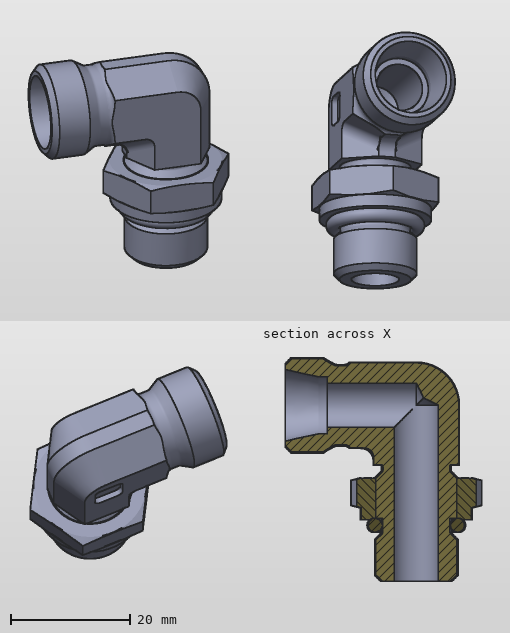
import cadquery as cq
import math

total_height = 37.5
threaded_end_diameter = 16.0
outlet_face_y = -21.98
bore_diameter = 8.0
drill_point_angle = 120.0
neck_blend_radius = 0.45
chamfer = 1.0

block_width = 14.0
block_reach = 7.25
block_bottom_z = 19.45
block_end_radius = 1.0
inner_corner_radius = 2.0

outlet_neck_diameter = 13.7
outlet_neck_start_y = -12.0
outlet_shoulder_y = -15.6
outlet_shoulder_angle = 30.0
outlet_blend_radius = 0.9
socket_mouth_diameter = 12.38
socket_diameter = 10.0
socket_depth = 7.0
socket_taper = 12.0

stud_diameter = 14.0
lower_neck_diameter = 11.8
upper_neck_diameter = 11.7
stud_shoulder_z = 6.98
upper_thread_end_z = 17.32

panel_size = 5.02
panel_depth = 1.0
panel_corner_radius = 1.0
panel_center_y = -0.4
panel_center_z = 29.0

nut_width = 19.0
nut_face_diameter = 18.9
collar_diameter = 18.8
nut_chamfer_angle = 15.0
nut_countersink = 0.15
collar_bottom_z = 10.3
hex_bottom_z = 12.3

ring_outer_diameter = 16.55
ring_center_z = 9.38

axis_z = total_height - threaded_end_diameter / 2
bore_radius = bore_diameter / 2
bore_tip = bore_radius / math.tan(math.radians(drill_point_angle / 2))
ring_inner_radius = lower_neck_diameter / 2
ring_section_radius = (ring_outer_diameter / 2 - ring_inner_radius) / 2
ring_center_radius = ring_inner_radius + ring_section_radius
ring_top_z = ring_center_z + ring_section_radius


def turned_about_z(profile):
    """Turn a closed (radius, z) profile about the Z axis."""
    return profile.close().revolve(360, (0, 0, 0), (0, 1, 0))


def turned_about_branch(profile):
    """Turn a closed (radius, y) profile drawn in XY about the Y axis, then lift it to the branch."""
    return profile.close().revolve(360, (0, 0, 0), (0, 1, 0)).translate((0, 0, axis_z))


def blended_neck(radius, cone_corner, cone_angle, blend_radius, direction):
    """Start, middle and end of the arc joining a cylinder to a cone that widens along direction.

    Points are (radius, position along the axis); cone_angle is measured from the axis.
    """
    tangent = blend_radius * math.tan(cone_angle / 2)
    start = cone_corner - direction * tangent

    def arc_point(angle):
        rise = blend_radius * (1 - math.cos(angle))
        return radius + rise, start + direction * blend_radius * math.sin(angle)

    return arc_point(0), arc_point(cone_angle / 2), arc_point(cone_angle)


def block_half_outline():
    """(x, reach) corners of the outer half of the bar section, from +X round to -X."""
    half_width = block_width / 2
    slope = math.tan(math.radians(30))
    corner_reach = half_width * slope
    flat_half_width = (2 * corner_reach - block_reach) / slope
    return [
        (half_width, 0),
        (half_width, corner_reach),
        (flat_half_width, block_reach),
        (-flat_half_width, block_reach),
        (-half_width, corner_reach),
        (-half_width, 0),
    ]


def make_block():
    half = block_half_outline()
    section = half[:-1] + [(x, -reach) for x, reach in half[:0:-1]]
    vertical_leg = (
        cq.Workplane("XY", origin=(0, 0, block_bottom_z))
        .polyline(section).close().extrude(axis_z - block_bottom_z)
    )
    branch_leg = (
        cq.Workplane("XZ", origin=(0, 0, axis_z))
        .polyline(section).close().extrude(-outlet_neck_start_y)
    )
    bend = (
        cq.Workplane("XY", origin=(0, 0, axis_z))
        .polyline(half).close().revolve(90, (0, 0, 0), (1, 0, 0))
    )
    block = vertical_leg.union(branch_leg).union(bend)
    inner_corner = [edge for edge in block.edges().vals() if is_inner_corner(edge.Center())]
    return block.newObject(inner_corner).fillet(inner_corner_radius)


def is_inner_corner(point):
    """True on the valley where the two legs meet, in the plane that bisects their axes."""
    return point.y < -block_width / 4 and abs(point.y - (point.z - axis_z)) < 0.005


def round_block_end(block):
    """Trim the branch end of the block with a concave round that runs into the neck."""
    neck_radius = outlet_neck_diameter / 2
    flare_radius = neck_radius + block_end_radius
    block_end_y = outlet_neck_start_y + block_end_radius
    arc_offset = block_end_radius * math.sqrt(0.5)
    clear_radius = block_width
    trim = turned_about_branch(
        cq.Workplane("XY")
        .moveTo(neck_radius, outlet_neck_start_y)
        .threePointArc(
            (flare_radius - arc_offset, outlet_neck_start_y + arc_offset),
            (flare_radius, block_end_y),
        )
        .lineTo(clear_radius, block_end_y)
        .lineTo(clear_radius, outlet_neck_start_y)
    )
    return block.cut(trim)


def make_branch_end():
    """Neck, shoulder cone and threaded end of the horizontal branch."""
    end_radius = threaded_end_diameter / 2
    neck_radius = outlet_neck_diameter / 2
    angle = math.radians(outlet_shoulder_angle)
    cone_corner = outlet_shoulder_y + (end_radius - neck_radius) / math.tan(angle)
    start, middle, end = blended_neck(neck_radius, cone_corner, angle, outlet_blend_radius, -1)
    return turned_about_branch(
        cq.Workplane("XY")
        .moveTo(0, outlet_neck_start_y)
        .lineTo(neck_radius, outlet_neck_start_y)
        .lineTo(*start)
        .threePointArc(middle, end)
        .lineTo(end_radius, outlet_shoulder_y)
        .lineTo(end_radius, outlet_face_y + chamfer)
        .lineTo(end_radius - chamfer, outlet_face_y)
        .lineTo(0, outlet_face_y)
    )


def make_stud():
    """Lower thread, seal neck, upper thread inside the nut, and the neck under the block."""
    radius = stud_diameter / 2
    lower_radius = lower_neck_diameter / 2
    upper_radius = upper_neck_diameter / 2
    angle = math.radians(45)
    lower_corner = stud_shoulder_z + radius - lower_radius
    upper_corner = upper_thread_end_z + radius - upper_radius
    lower = blended_neck(lower_radius, lower_corner, angle, neck_blend_radius, -1)
    upper = blended_neck(upper_radius, upper_corner, angle, neck_blend_radius, -1)
    top_corner = block_bottom_z - neck_blend_radius * (math.sin(angle) - math.tan(angle / 2))
    top = blended_neck(upper_radius, top_corner, angle, neck_blend_radius, 1)
    return turned_about_z(
        cq.Workplane("XZ")
        .lineTo(radius - chamfer, 0)
        .lineTo(radius, chamfer)
        .lineTo(radius, stud_shoulder_z)
        .lineTo(*lower[2])
        .threePointArc(lower[1], lower[0])
        .lineTo(lower_radius, ring_top_z)
        .lineTo(radius, ring_top_z)
        .lineTo(radius, upper_thread_end_z)
        .lineTo(*upper[2])
        .threePointArc(upper[1], upper[0])
        .lineTo(*top[0])
        .threePointArc(top[1], top[2])
        .lineTo(0, block_bottom_z)
    )


def make_stud_bore():
    return turned_about_z(
        cq.Workplane("XZ")
        .lineTo(bore_radius, 0)
        .lineTo(bore_radius, axis_z)
        .lineTo(0, axis_z + bore_tip)
    )


def make_branch_bore():
    """Tapered tube socket followed by the through bore and its drill tip."""
    mouth_radius = socket_mouth_diameter / 2
    socket_radius = socket_diameter / 2
    taper_length = (mouth_radius - socket_radius) / math.tan(math.radians(socket_taper))
    socket_floor_y = outlet_face_y + socket_depth
    return turned_about_branch(
        cq.Workplane("XY")
        .moveTo(0, outlet_face_y)
        .lineTo(mouth_radius, outlet_face_y)
        .lineTo(socket_radius, outlet_face_y + taper_length)
        .lineTo(socket_radius, socket_floor_y)
        .lineTo(bore_radius, socket_floor_y)
        .lineTo(bore_radius, 0)
        .lineTo(0, bore_tip)
    )


def make_panel_recess():
    return (
        cq.Workplane("YZ", origin=(-block_width / 2, panel_center_y, panel_center_z))
        .rect(panel_size, panel_size)
        .extrude(panel_depth)
        .edges("|X").fillet(panel_corner_radius)
    )


def make_elbow():
    solid = round_block_end(make_block()).union(make_branch_end()).union(make_stud())
    return solid.cut(make_stud_bore()).cut(make_branch_bore()).cut(make_panel_recess())


def make_seal_ring():
    return (
        cq.Workplane("XZ")
        .center(ring_center_radius, ring_center_z)
        .circle(ring_section_radius)
        .revolve(360, (-ring_center_radius, 0, 0), (-ring_center_radius, 1, 0))
    )


def make_lock_nut():
    """Hexagon chamfered on both faces, with a round collar that seats on the sealing ring."""
    corner_radius = nut_width / math.sqrt(3)
    face_radius = nut_face_diameter / 2
    corner_drop = (corner_radius - face_radius) * math.tan(math.radians(nut_chamfer_angle))
    hexagon = (
        cq.Workplane("XY", origin=(0, 0, hex_bottom_z))
        .polygon(6, 2 * corner_radius)
        .extrude(upper_thread_end_z - hex_bottom_z)
        .rotate((0, 0, 0), (0, 0, 1), 30)
    )
    chamfered_blank = turned_about_z(
        cq.Workplane("XZ")
        .moveTo(0, hex_bottom_z)
        .lineTo(face_radius, hex_bottom_z)
        .lineTo(corner_radius, hex_bottom_z + corner_drop)
        .lineTo(corner_radius, upper_thread_end_z - corner_drop)
        .lineTo(face_radius, upper_thread_end_z)
        .lineTo(0, upper_thread_end_z)
    )
    collar = (
        cq.Workplane("XY", origin=(0, 0, collar_bottom_z))
        .circle(collar_diameter / 2)
        .extrude(hex_bottom_z - collar_bottom_z)
    )
    thread_radius = stud_diameter / 2
    thread_hole = turned_about_z(
        cq.Workplane("XZ")
        .lineTo(thread_radius, 0)
        .lineTo(thread_radius, upper_thread_end_z - nut_countersink)
        .lineTo(thread_radius + nut_countersink, upper_thread_end_z)
        .lineTo(0, upper_thread_end_z)
    )
    nut = hexagon.intersect(chamfered_blank).union(collar).cut(thread_hole)
    ring_seat = make_seal_ring()
    return nut.cut(ring_seat)


elbow = make_elbow()
lock_nut = make_lock_nut()
seal_ring = make_seal_ring()

result = cq.Compound.makeCompound([body.solids().val() for body in (elbow, lock_nut, seal_ring)])